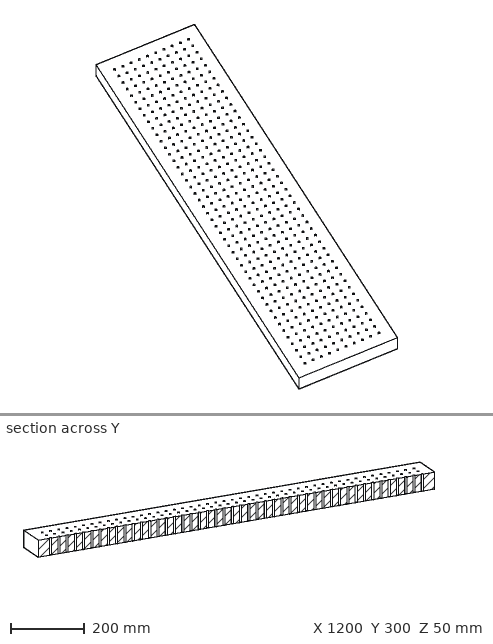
import cadquery as cq

columns = 46
rows = 10
edge_margin_pitches = 1.5
hole_diameter = 5.0

length = 1200.0
pitch = length / (columns - 1 + 2 * edge_margin_pitches)
width = pitch * (rows - 1 + 2 * edge_margin_pitches)
thickness_pitches = 2
thickness = thickness_pitches * pitch


def make_plate():
    """Plain rectangular slab centred on the origin."""
    return cq.Workplane("XY").box(length, width, thickness)


def drill_hole_grid(plate):
    """Drill the full grid of holes right through the plate from its top face."""
    return (
        plate.faces(">Z")
        .workplane()
        .rarray(pitch, pitch, columns, rows)
        .hole(hole_diameter)
    )


result = drill_hole_grid(make_plate())